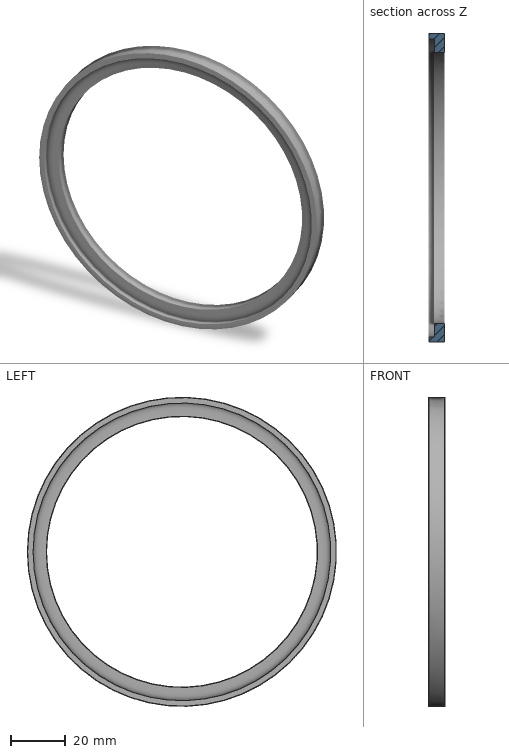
import cadquery as cq

outer_diameter = 112.5
bore_diameter = 98.5
recess_diameter = 108.3
ring_width = 6.0
recess_depth = 2.0

ring = (
    cq.Workplane("YZ")
    .workplane(offset=-ring_width / 2)
    .circle(outer_diameter / 2)
    .circle(bore_diameter / 2)
    .extrude(ring_width)
)

recess = (
    cq.Workplane("YZ")
    .workplane(offset=-ring_width / 2)
    .circle(recess_diameter / 2)
    .extrude(recess_depth)
)

result = ring.cut(recess)